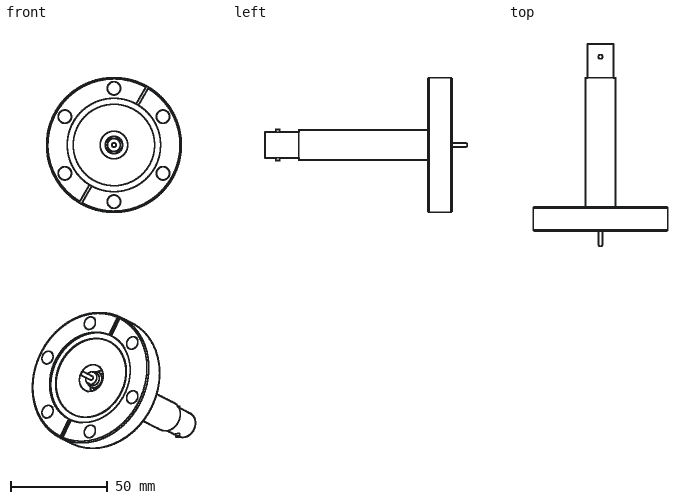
import cadquery as cq

flange_diameter = 69.9
flange_thickness = 12.7
flange_chamfer = 0.7
bolt_count = 6
bolt_circle_diameter = 58.7
bolt_hole_diameter = 6.7

recess_diameter = 48.4
recess_depth = 1.4
knife_diameter = 42.2
knife_depth = 0.8
recess_floor_depth = 1.5

leak_groove_width = 1.4
leak_groove_depth = 0.6
leak_groove_angle = 60

tube_diameter = 15.7
tube_length = 66.6
connector_diameter = 13.5
connector_length = 17.7
connector_chamfer = 0.2
lug_diameter = 2.2
lug_span = 16.2
lug_from_end = 6.8

bore_diameter = 14.3
lip_inner_diameter = 9.0
lip_crest_diameter = 10.8
insulator_diameter = 6.7
shoulder_diameter = 8.6
shoulder_depth = 2.5
pin_diameter = 2.2
pin_length = 7.9
pin_tip_fillet = 0.9

tube_end = flange_thickness + tube_length
connector_end = tube_end + connector_length


def cylinder(diameter, start, end):
    """Solid cylinder on the Y axis between two Y positions."""
    return cq.Workplane("XZ", origin=(0, start, 0)).circle(diameter / 2).extrude(start - end)


def flange():
    body = cylinder(flange_diameter, 0, flange_thickness).edges().chamfer(flange_chamfer)
    holes = (
        cq.Workplane("XZ")
        .polarArray(bolt_circle_diameter / 2, 90, 360, bolt_count)
        .circle(bolt_hole_diameter / 2)
        .extrude(-flange_thickness)
    )
    return body.cut(holes)


def sealing_recess():
    """Recess whose outer band slopes up to a knife edge around a flat floor."""
    recess_radius = recess_diameter / 2
    knife_radius = knife_diameter / 2
    return (
        cq.Workplane("XY")
        .polyline([
            (0, 0),
            (recess_radius, 0),
            (recess_radius, recess_depth),
            (knife_radius, knife_depth),
            (knife_radius, recess_floor_depth),
            (0, recess_floor_depth),
        ])
        .close()
        .revolve(360, (0, 0, 0), (0, 1, 0))
    )


def leak_grooves():
    """One straight cut across the face leaves a groove on each side of the recess."""
    return (
        cq.Workplane("XZ")
        .transformed(rotate=(0, 0, leak_groove_angle))
        .rect(flange_diameter, leak_groove_width)
        .extrude(-leak_groove_depth)
    )


def bore():
    """Bore through the flange, ending on a rounded lip that rises from its bottom."""
    bore_radius = bore_diameter / 2
    crest_radius = lip_crest_diameter / 2
    lip_radius = lip_inner_diameter / 2
    outer_round = bore_radius - crest_radius
    inner_round = crest_radius - lip_radius
    crest_y = flange_thickness - outer_round
    return (
        cq.Workplane("XY")
        .lineTo(bore_radius, 0)
        .lineTo(bore_radius, flange_thickness)
        .radiusArc((crest_radius, crest_y), outer_round)
        .radiusArc((lip_radius, crest_y + inner_round), inner_round)
        .lineTo(lip_radius, flange_thickness)
        .lineTo(0, flange_thickness)
        .close()
        .revolve(360, (0, 0, 0), (0, 1, 0))
    )


def insulator_and_pin():
    """Insulator with a 45 degree shoulder, flush with the recess floor, around the pin."""
    insulator_radius = insulator_diameter / 2
    shoulder_radius = shoulder_diameter / 2
    shoulder_start = recess_floor_depth + shoulder_depth
    shoulder_end = shoulder_start + shoulder_radius - insulator_radius
    insulator = (
        cq.Workplane("XY")
        .polyline([
            (0, recess_floor_depth),
            (insulator_radius, recess_floor_depth),
            (insulator_radius, shoulder_start),
            (shoulder_radius, shoulder_end),
            (shoulder_radius, flange_thickness),
            (0, flange_thickness),
        ])
        .close()
        .revolve(360, (0, 0, 0), (0, 1, 0))
    )
    pin = cylinder(pin_diameter, -pin_length, flange_thickness).faces("<Y").edges().fillet(pin_tip_fillet)
    return insulator.union(pin)


def connector():
    shell = cylinder(connector_diameter, tube_end, connector_end)
    shell = shell.faces(">Y").edges().chamfer(connector_chamfer)
    lugs = (
        cq.Workplane("XY", origin=(0, connector_end - lug_from_end, 0))
        .circle(lug_diameter / 2)
        .extrude(lug_span / 2, both=True)
    )
    return shell.union(lugs)


result = (
    flange()
    .union(cylinder(tube_diameter, flange_thickness, tube_end))
    .union(connector())
    .cut(sealing_recess())
    .cut(leak_grooves())
    .cut(bore())
    .union(insulator_and_pin())
)